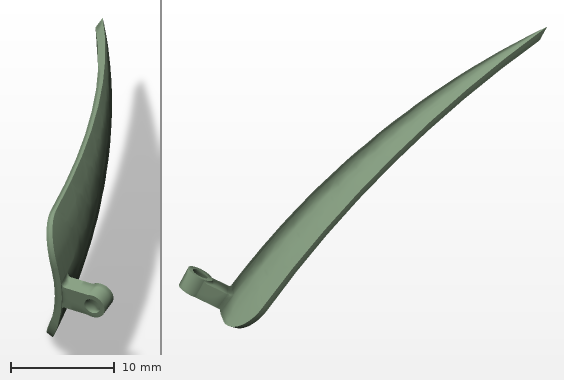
import cadquery as cq
import math

length = 40.1
sector_angle = 60.0
outer_base_radius = 15.0
inner_base_radius = 14.25
inner_tip_height = 38.5
bulge = 2.5
corner_radius = 4.15

overall_x = 19.5
tab_bottom = 0.15
arm_thickness = 1.72
arm_width = 2.5
head_thickness = 2.0
head_diameter = 2.65
hole_diameter = 1.65
root_fillet = 0.35
head_fillet = 0.25
head_center_x = overall_x - head_diameter / 2
wall_middle_radius = (outer_base_radius + inner_base_radius) / 2


def arc_middle(base_radius, tip_height):
    """Middle point of a wall arc, bulging away from the axis."""
    chord = math.hypot(base_radius, tip_height)
    return (
        base_radius / 2 + bulge * tip_height / chord,
        tip_height / 2 + bulge * base_radius / chord,
    )


def make_petal():
    shell = (
        cq.Workplane("XY")
        .moveTo(inner_base_radius, 0)
        .lineTo(outer_base_radius, 0)
        .threePointArc(arc_middle(outer_base_radius, length), (0, length))
        .lineTo(0, inner_tip_height)
        .threePointArc(arc_middle(inner_base_radius, inner_tip_height), (inner_base_radius, 0))
        .close()
        .revolve(sector_angle, (0, 0, 0), (0, 1, 0))
        .rotate((0, 0, 0), (0, 1, 0), -sector_angle / 2)
    )
    return shell.faces("<Y").edges("%LINE").fillet(corner_radius)


def tab_plane():
    """Workplane on the tab's lower face, extruding toward +Y."""
    return cq.Workplane("XZ", origin=(0, tab_bottom, 0))


def make_arm():
    arm_length = head_center_x - wall_middle_radius
    return (
        tab_plane()
        .center(wall_middle_radius + arm_length / 2, 0)
        .rect(arm_length, arm_width)
        .extrude(-arm_thickness)
    )


def round_joint(body, x_min, x_max, radius):
    """Fillet the sides and top of the arm where it meets another part, between two X limits."""
    y_min = tab_bottom + arm_thickness / 4
    y_max = tab_bottom + (arm_thickness + head_thickness) / 2
    half_width = head_diameter / 2
    zone = cq.selectors.BoxSelector((x_min, y_min, -half_width), (x_max, y_max, half_width))
    return body.edges(zone).fillet(radius)


def head_cylinder(diameter):
    return tab_plane().center(head_center_x, 0).circle(diameter / 2).extrude(-head_thickness)


body = make_petal().union(make_arm()).union(head_cylinder(head_diameter))
body = round_joint(body, wall_middle_radius, outer_base_radius, root_fillet)
body = round_joint(body, head_center_x - head_diameter / 2, head_center_x - hole_diameter / 4, head_fillet)
result = body.cut(head_cylinder(hole_diameter))